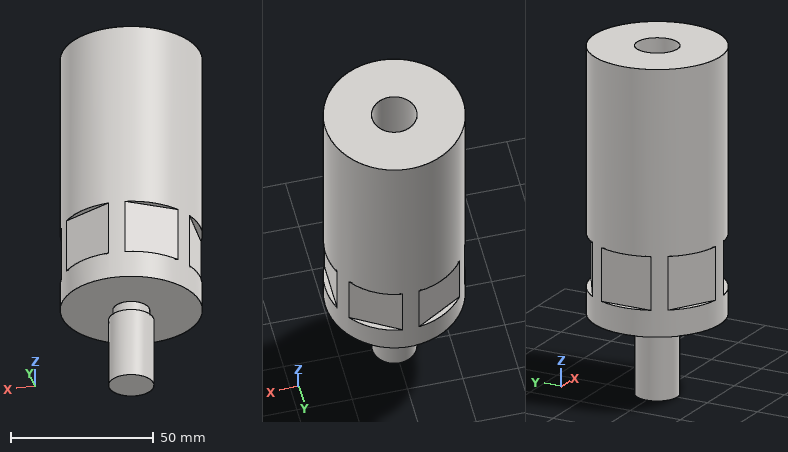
import cadquery as cq
import math

total_height = 130.0
body_diameter = 50.0
stud_diameter = 16.0
neck_diameter = 13.0
stud_length = 26.0
neck_length = 4.0
collar_height = 10.0
flat_height = 20.0
across_flats = 46.0
flat_count = 6
bore_depth = 40.0

body_bottom = stud_length + neck_length
body_height = total_height - body_bottom
flat_bottom = body_bottom + collar_height


def cylinder(diameter, bottom, height):
    """Vertical cylinder on the part axis."""
    return cq.Workplane("XY").workplane(offset=bottom).circle(diameter / 2).extrude(height)


def wrench_flat_cutter():
    """Ring that trims the body to a hexagon with one flat facing -X."""
    across_corners = across_flats / math.cos(math.pi / flat_count)
    hexagon = (
        cq.Workplane("XY")
        .workplane(offset=flat_bottom)
        .polygon(flat_count, across_corners)
        .extrude(flat_height)
        .rotate((0, 0, 0), (0, 0, 1), 180 / flat_count)
    )
    return cylinder(2 * body_diameter, flat_bottom, flat_height).cut(hexagon)


body = cylinder(body_diameter, body_bottom, body_height)
body = body.cut(wrench_flat_cutter())
body = body.cut(cylinder(stud_diameter, total_height - bore_depth, bore_depth))

stud = cylinder(stud_diameter, 0, stud_length)
neck = cylinder(neck_diameter, stud_length, neck_length)

result = body.union(neck).union(stud)